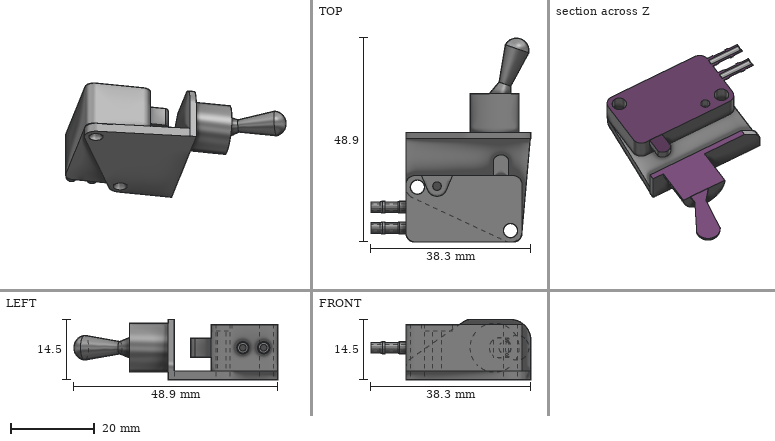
import cadquery as cq
import math


bracket_width = 29.95
bracket_depth = 26.3
bracket_height = 14.5
base_thickness = 2.2
plate_thickness = 1.5
plate_slope = 35.0
shoulder_corner_x = 14.6
shoulder_radius = 3.0
plate_top_radius = 5.0
bushing_radius = 5.85
bushing_length = 9.3
bushing_x = 21.25

housing_width = 27.85
housing_depth = 16.0
housing_height = 11.05
housing_corner_radius = 2.25
mount_hole_radius = 1.65
mount_margin = 2.8
rear_hole = (mount_margin, housing_depth - mount_margin)
front_hole = (housing_width - mount_margin, mount_margin)
housing_top = base_thickness + housing_height

vent_x = 7.5
vent_y = 13.45
vent_radius = 2.45
vent_mouth_half_width = 3.7
vent_depth = 1.45
vent_hole_radius = 1.05

axis_z = 7.7
nozzle_ys = (3.4, 8.4)
nozzle_length = 8.35
nozzle_radius = 1.25
barb_radius = 1.45
nozzle_bore_radius = 0.8
collar_length = 1.45
collar_taper_end = 1.9
barb_start = 5.0
barb_end = 5.55
barb_taper_end = 6.15

plunger_x = 22.8
plunger_width = 3.55
plunger_height = 4.6
plunger_side_length = 3.85
plunger_crown = 1.08

lever_tilt = 19.0
lever_flare = 21.0
pivot_depth = 4.9
neck_distance = 7.57
neck_radius = 1.49
knob_distance = 16.5
knob_radius = 3.0
cap_height = 2.55
root_length = 3.9

bushing_end = bracket_depth + bushing_length


def tangent_from_point(point, center, radius):
    """Right-hand tangent point on a circle, for a line dropped from the given point."""
    dx = point[0] - center[0]
    dy = point[1] - center[1]
    angle = math.atan2(dy, dx) - math.acos(radius / math.hypot(dx, dy))
    return (center[0] + radius * math.cos(angle), center[1] + radius * math.sin(angle))


def on_circle(center, radius, angle):
    return (center[0] + radius * math.cos(angle), center[1] + radius * math.sin(angle))


def make_base():
    """Base with rounded lobes around the mounting holes."""
    rise = rear_hole[1] - front_hole[1]
    run = front_hole[0] - rear_hole[0]
    edge_normal = -math.pi / 2 - math.atan2(rise, run)
    rear_right = (bracket_width, bracket_depth)
    right_tangent = tangent_from_point(rear_right, front_hole, mount_margin)
    return (
        cq.Workplane("XY")
        .moveTo(0, bracket_depth)
        .lineTo(0, rear_hole[1])
        .threePointArc(
            on_circle(rear_hole, mount_margin, (edge_normal - math.pi) / 2),
            on_circle(rear_hole, mount_margin, edge_normal),
        )
        .lineTo(*on_circle(front_hole, mount_margin, edge_normal))
        .threePointArc(on_circle(front_hole, mount_margin, edge_normal / 2), right_tangent)
        .lineTo(*rear_right)
        .close()
        .extrude(base_thickness)
        .cut(make_mount_holes())
    )


def make_mount_holes():
    return (
        cq.Workplane("XY")
        .pushPoints([rear_hole, front_hole])
        .circle(mount_hole_radius)
        .extrude(housing_top)
    )


def make_plate():
    """Upright plate with a sloping left shoulder and rounded corners."""
    shoulder_z = bracket_height - shoulder_corner_x * math.tan(math.radians(plate_slope))
    plate = (
        cq.Workplane("XZ", origin=(0, bracket_depth, 0))
        .polyline([
            (0, 0),
            (bracket_width, 0),
            (bracket_width, bracket_height),
            (shoulder_corner_x, bracket_height),
            (0, shoulder_z),
        ])
        .close()
        .extrude(plate_thickness)
    )
    mid_y = bracket_depth - plate_thickness / 2
    shoulder_corners = [(0, mid_y, shoulder_z), (shoulder_corner_x, mid_y, bracket_height)]
    for corner in shoulder_corners:
        plate = plate.edges(cq.NearestToPointSelector(corner)).fillet(shoulder_radius)
    top_corner = cq.NearestToPointSelector((bracket_width, mid_y, bracket_height))
    return plate.edges(top_corner).fillet(plate_top_radius)


def make_bracket():
    bushing = (
        cq.Workplane("XZ", origin=(bushing_x, bracket_depth, axis_z))
        .circle(bushing_radius)
        .extrude(-bushing_length)
    )
    return make_base().union(make_plate()).union(bushing)


def make_vent():
    """Tapered pocket open to the rear, with a round hole through its floor."""
    center = (vent_x, vent_y)
    mouth_right = (vent_x + vent_mouth_half_width, housing_depth)
    right_tangent = tangent_from_point(mouth_right, center, vent_radius)
    left_tangent = (2 * vent_x - right_tangent[0], right_tangent[1])
    pocket = (
        cq.Workplane("XY", origin=(0, 0, housing_top - vent_depth))
        .moveTo(vent_x - vent_mouth_half_width, housing_depth)
        .lineTo(*left_tangent)
        .threePointArc((vent_x, vent_y - vent_radius), right_tangent)
        .lineTo(*mouth_right)
        .close()
        .extrude(vent_depth)
    )
    hole = cq.Workplane("XY").center(*center).circle(vent_hole_radius).extrude(housing_top)
    return pocket.union(hole)


def make_nozzle(y):
    """Barbed hose nozzle pointing along -X."""
    return (
        cq.Workplane("XY", origin=(0, y, axis_z))
        .polyline([
            (0, nozzle_bore_radius),
            (0, barb_radius),
            (-collar_length, barb_radius),
            (-collar_taper_end, nozzle_radius),
            (-barb_start, nozzle_radius),
            (-barb_start, barb_radius),
            (-barb_end, barb_radius),
            (-barb_taper_end, nozzle_radius),
            (-nozzle_length, nozzle_radius),
            (-nozzle_length, nozzle_bore_radius),
        ])
        .close()
        .revolve(360, (0, 0, 0), (1, 0, 0))
    )


def make_nozzle_root(y):
    """Solid stub that joins a nozzle to the housing beside its rounded corner."""
    return (
        cq.Workplane("YZ", origin=(0, y, axis_z))
        .circle(barb_radius)
        .extrude(housing_corner_radius)
    )


def make_housing():
    housing = (
        cq.Workplane("XY", origin=(0, 0, base_thickness))
        .rect(housing_width, housing_depth)
        .extrude(housing_height)
        .translate((housing_width / 2, housing_depth / 2, 0))
        .edges("|Z")
        .fillet(housing_corner_radius)
        .cut(make_mount_holes())
        .cut(make_vent())
    )
    for y in nozzle_ys:
        housing = housing.union(make_nozzle_root(y)).union(make_nozzle(y))
    return housing


def make_plunger():
    """Round-nosed plunger standing out of the rear of the housing."""
    half_width = plunger_width / 2
    return (
        cq.Workplane("XY", origin=(plunger_x, housing_depth, axis_z - plunger_height / 2))
        .moveTo(-half_width, 0)
        .lineTo(half_width, 0)
        .lineTo(half_width, plunger_side_length)
        .threePointArc(
            (0, plunger_side_length + plunger_crown),
            (-half_width, plunger_side_length),
        )
        .close()
        .extrude(plunger_height)
    )


def make_lever():
    """Tilted toggle lever, trimmed flush with the end face of the bushing."""
    root_radius = neck_radius + root_length * math.tan(math.radians(lever_flare))
    sphere_radius = (knob_radius ** 2 + cap_height ** 2) / (2 * cap_height)
    sphere_center = knob_distance + cap_height - sphere_radius
    mid_angle = (math.pi / 2 + math.asin((knob_distance - sphere_center) / sphere_radius)) / 2
    lever = (
        cq.Workplane("XY")
        .moveTo(0, neck_distance - root_length)
        .lineTo(root_radius, neck_distance - root_length)
        .lineTo(neck_radius, neck_distance)
        .lineTo(knob_radius, knob_distance)
        .threePointArc(
            on_circle((0, sphere_center), sphere_radius, mid_angle),
            (0, knob_distance + cap_height),
        )
        .close()
        .revolve(360, (0, 0, 0), (0, 1, 0))
        .rotate((0, 0, 0), (0, 0, 1), -lever_tilt)
        .translate((bushing_x, bushing_end - pivot_depth, axis_z))
    )
    bushing_space = (
        cq.Workplane("XZ", origin=(bushing_x, bushing_end, axis_z))
        .circle(bushing_radius)
        .extrude(bushing_length)
    )
    return lever.cut(bushing_space)


bracket = make_bracket()
housing = make_housing()
plunger = make_plunger()
lever = make_lever()

result = cq.Compound.makeCompound([
    bracket.solids().val(),
    housing.solids().val(),
    plunger.solids().val(),
    lever.solids().val(),
])